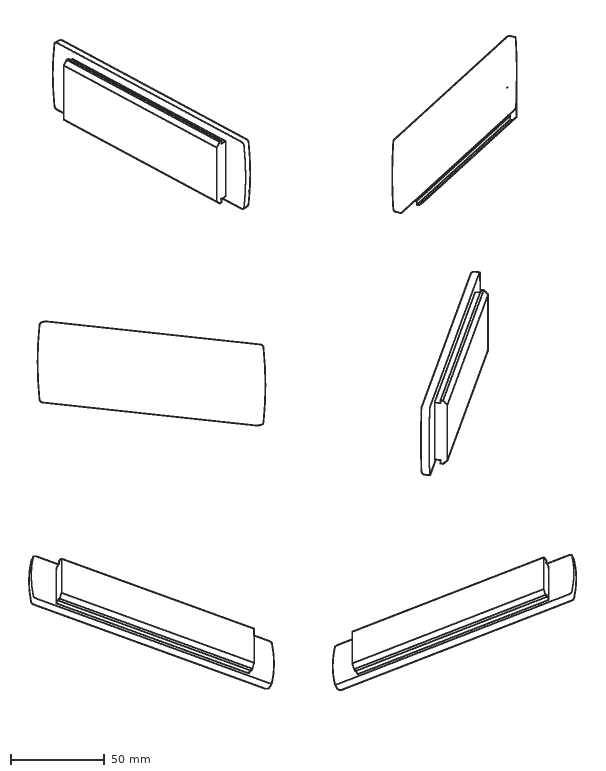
import cadquery as cq

plate_length = 141.7
plate_height = 44.0
plate_thickness = 5.0
end_bulge = 1.4
corner_radius = 2.0
rim_radius = 2.1

overall_depth = 12.0
rail_length = 112.4
neck_depth = 3.3
hook_bevel = 2.4
hook_top = 18.7
hook_bottom = -21.7
neck_top = 16.9
neck_bottom = -19.4

rail_front = plate_thickness - overall_depth
hook_back = -neck_depth
bevel_start = rail_front + hook_bevel


def make_plate():
    """Plate with bowed ends, rounded corners and a rounded +Y rim."""
    half_length = plate_length / 2
    half_height = plate_height / 2
    corner_x = half_length - end_bulge
    outline = (
        cq.Workplane("XZ")
        .moveTo(-corner_x, -half_height)
        .lineTo(corner_x, -half_height)
        .threePointArc((half_length, 0), (corner_x, half_height))
        .lineTo(-corner_x, half_height)
        .threePointArc((-half_length, 0), (-corner_x, -half_height))
        .close()
    )
    plate = outline.extrude(-plate_thickness)
    return plate.edges("|Y").fillet(corner_radius).faces(">Y").edges().fillet(rim_radius)


def make_rail():
    """Rail with a bevelled hook along its top and bottom edges."""
    profile = [
        (0, neck_bottom),
        (hook_back, neck_bottom),
        (hook_back, hook_bottom),
        (bevel_start, hook_bottom),
        (rail_front, hook_bottom + hook_bevel),
        (rail_front, hook_top - hook_bevel),
        (bevel_start, hook_top),
        (hook_back, hook_top),
        (hook_back, neck_top),
        (0, neck_top),
    ]
    return cq.Workplane("YZ").polyline(profile).close().extrude(rail_length / 2, both=True)


result = make_plate().union(make_rail())